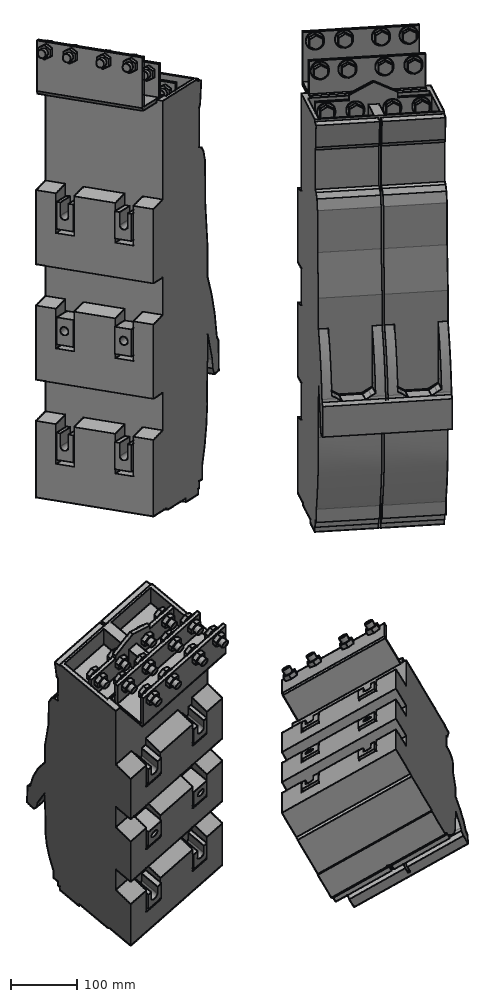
import cadquery as cq
import math


WIDTH = 199.0
HOUSING_TOP = 664.0
GRIP_Y = 182.0
GRIP_TOP = 231.5
HANDLE_TIP_Y = 188.0
REAR_Y = 150.0

MODULE_GAP = 4.0
MODULE_GAP_Y = 118.0
WINDOW_X = (17.0, 84.0)
WINDOW_TOP = 351.0
TROUGH_HALF_WIDTH = 18.0
BEVEL_HALF_WIDTH = 27.0
BEVEL_RISE = 5.0
WINDOW_SIDE_RISE = 9.0

COMPARTMENT_X = (8.0, 93.0)
COMPARTMENT_Y = (24.0, 114.0)
COMPARTMENT_FLOOR = 619.5

PAD_PITCH = 184.0
PAD_DEPTH = 31.0
PAD_BOTTOM = 13.5
PAD_TOP = 132.0
PAD_SLOPE_RISE = 6.0
BASE_FRONT_Z = 10.0
POCKET_X = (35.0, 66.0)
POCKET_BOTTOM = 69.0

CONTACT_WIDTH = 28.0
CONTACT_BOTTOM = 76.0
CONTACT_TOP = 119.5
CONTACT_FRONT_Y = -33.5
CONTACT_HOLE = 13.5
CONTACT_HOLE_DROP = 20.0

BAR = 6.0
BAR_WIDTH = 179.0
FRONT_BAR_Y = -42.5
MIDDLE_BAR_Y = 12.0
REAR_BAR_Y = 67.0
FRONT_BAR_TOP = 746.5
MIDDLE_BAR_TOP = 719.5
REAR_BAR_TOP = 700.0
FOOT_REAR_Y = COMPARTMENT_Y[0]
FOOT_TOP = 666.5
FOOT_CHAMFER = 4.5
BEND_CHAMFER = (2.0, 5.0)
SHOULDER_TOP = 672.5
CREST_HALF_WIDTH = 37.0
CREST_EDGE_TOP = 681.5

NUT_FLATS = 20.0
NUT_LENGTH = 7.5
WASHER_DIAMETER = 28.0
WASHER = 2.0
HEAD_LENGTH = 8.0
SHANK_DIAMETER = 13.5
SHANK_LENGTH = 16.5
FRONT_BOLT_X = (-73.0, -30.5, 26.0, 71.0)
MIDDLE_BOLT_X = tuple(-x for x in FRONT_BOLT_X)
REAR_BOLT_X = (-73.0, -28.0, 28.0, 73.0)
FRONT_BOLT_Z = 732.0
MIDDLE_BOLT_Z = 704.0
REAR_BOLT_Z = 657.0


def box(x_range, y_range, z_range):
    """Box between the given limits along each axis."""
    lows, highs = zip(x_range, y_range, z_range)
    sizes = [high - low for low, high in zip(lows, highs)]
    return cq.Workplane("XY").box(*sizes, centered=False).translate(lows)


def span(width):
    """Limits of a width centred on X = 0."""
    return (-width / 2, width / 2)


def mirrored(x_range):
    """The given X limits and their mirror image."""
    return [(-x_range[1], -x_range[0]), x_range]


def housing():
    """Side profile of the housing and handles, extruded over the full width."""
    return (
        cq.Workplane("YZ")
        .moveTo(0, BASE_FRONT_Z)
        .lineTo(0, HOUSING_TOP)
        .lineTo(118.0, HOUSING_TOP)
        .lineTo(118.0, 660.5)
        .lineTo(129.0, 658.0)
        .lineTo(125.5, 622.0)
        .lineTo(122.5, 616.5)
        .lineTo(122.5, 553.0)
        .lineTo(130.0, 551.0)
        .lineTo(136.5, 542.5)
        .lineTo(142.0, 526.0)
        .lineTo(142.5, 459.0)
        .lineTo(REAR_Y, 388.0)
        .lineTo(REAR_Y, 338.0)
        .threePointArc((170.0, 286.5), (180.5, 236.0))
        .lineTo(GRIP_Y, GRIP_TOP)
        .lineTo(186.5, 226.0)
        .lineTo(HANDLE_TIP_Y, 178.0)
        .lineTo(173.0, 175.5)
        .lineTo(167.0, 186.5)
        .lineTo(166.0, 201.5)
        .lineTo(151.0, 246.0)
        .lineTo(148.5, 163.5)
        .threePointArc((143.0, 84.0), (132.0, 42.0))
        .lineTo(132.0, 20.0)
        .lineTo(122.5, 20.0)
        .lineTo(122.5, 9.0)
        .lineTo(119.0, 9.0)
        .lineTo(119.0, 0)
        .lineTo(77.5, 0)
        .lineTo(77.5, 6.0)
        .lineTo(16.5, 6.0)
        .lineTo(13.0, BASE_FRONT_Z)
        .close()
        .extrude(WIDTH / 2, both=True)
    )


def handle_window(x_range):
    """Opening above the handle grip, with a bevelled trough as its bottom."""
    center_x = sum(x_range) / 2
    half_width = (x_range[1] - x_range[0]) / 2
    return (
        cq.Workplane("XZ", origin=(center_x, HANDLE_TIP_Y, 0))
        .polyline([
            (-half_width, WINDOW_TOP),
            (-half_width, GRIP_TOP + WINDOW_SIDE_RISE),
            (-BEVEL_HALF_WIDTH, GRIP_TOP + BEVEL_RISE),
            (-TROUGH_HALF_WIDTH, GRIP_TOP),
            (TROUGH_HALF_WIDTH, GRIP_TOP),
            (BEVEL_HALF_WIDTH, GRIP_TOP + BEVEL_RISE),
            (half_width, GRIP_TOP + WINDOW_SIDE_RISE),
            (half_width, WINDOW_TOP),
        ])
        .close()
        .extrude(HANDLE_TIP_Y - REAR_Y)
    )


def pad(level, bottom):
    """Mounting pad with a sloping top and two pockets open at the top and front."""
    top = PAD_TOP + level
    body = (
        cq.Workplane("YZ")
        .polyline([
            (0, bottom),
            (-PAD_DEPTH, bottom),
            (-PAD_DEPTH, top),
            (0, top + PAD_SLOPE_RISE),
        ])
        .close()
        .extrude(WIDTH / 2, both=True)
    )
    for x_range in mirrored(POCKET_X):
        pocket_z = (POCKET_BOTTOM + level, top + PAD_SLOPE_RISE)
        body = body.cut(box(x_range, (-PAD_DEPTH, 0), pocket_z))
    return body


def contact(side, level, open_slot):
    """Contact block with a hole, or a slot open at the top, running back to the mounting face."""
    inner_x = POCKET_X[0]
    outer_x = inner_x + CONTACT_WIDTH
    z_range = (CONTACT_BOTTOM + level, CONTACT_TOP + level)
    block = box((inner_x, outer_x), (CONTACT_FRONT_Y, 0), z_range)

    hole_x = sum(POCKET_X) / 2
    hole_z = z_range[1] - CONTACT_HOLE_DROP
    hole = (
        cq.Workplane("XZ", origin=(hole_x, 0, hole_z))
        .circle(CONTACT_HOLE / 2)
        .extrude(-CONTACT_FRONT_Y)
    )
    block = block.cut(hole)
    if open_slot:
        slot_x = (hole_x - CONTACT_HOLE / 2, hole_x + CONTACT_HOLE / 2)
        block = block.cut(box(slot_x, (CONTACT_FRONT_Y, 0), (hole_z, z_range[1])))
    return block if side > 0 else block.mirror("YZ")


def bolt(x, bar_y, z):
    """Hexagon bolt through a bar whose rear face is at bar_y, its end toward -Y."""

    def stage(start_y):
        return cq.Workplane("XZ", origin=(x, start_y, z))

    def hexagon(start_y, length):
        corner_diameter = NUT_FLATS / math.cos(math.pi / 6)
        plane = stage(start_y).transformed(rotate=(0, 0, 90))
        return plane.polygon(6, corner_diameter).extrude(length)

    washer_y = bar_y + WASHER
    head_y = washer_y + HEAD_LENGTH
    head = hexagon(head_y, HEAD_LENGTH)
    washer = stage(washer_y).circle(WASHER_DIAMETER / 2).extrude(WASHER)
    nut = hexagon(bar_y - BAR, NUT_LENGTH)
    shank = stage(bar_y).circle(SHANK_DIAMETER / 2).extrude(BAR + SHANK_LENGTH)
    return head.union(washer).union(nut).union(shank)


def front_busbar():
    """L-shaped bar whose foot reaches into the housing."""
    bar_front_y = FRONT_BAR_Y - BAR
    foot_bottom = FOOT_TOP - BAR
    bend_y, bend_z = BEND_CHAMFER
    return (
        cq.Workplane("YZ")
        .polyline([
            (FRONT_BAR_Y, FRONT_BAR_TOP),
            (bar_front_y, FRONT_BAR_TOP),
            (bar_front_y, foot_bottom + bend_z),
            (bar_front_y + bend_y, foot_bottom),
            (FOOT_REAR_Y, foot_bottom),
            (FOOT_REAR_Y, FOOT_TOP - FOOT_CHAMFER),
            (FOOT_REAR_Y - FOOT_CHAMFER, FOOT_TOP),
            (FRONT_BAR_Y, FOOT_TOP),
        ])
        .close()
        .extrude(BAR_WIDTH / 2, both=True)
    )


def middle_busbar():
    """Upright bar standing on the foot of the front bar."""
    return box(span(BAR_WIDTH), (MIDDLE_BAR_Y - BAR, MIDDLE_BAR_Y), (FOOT_TOP - BAR, MIDDLE_BAR_TOP))


def rear_busbar():
    """Upright bar in the compartments, with a raised gable in the middle."""
    half_width = BAR_WIDTH / 2
    return (
        cq.Workplane("XZ", origin=(0, REAR_BAR_Y, 0))
        .polyline([
            (-half_width, COMPARTMENT_FLOOR),
            (-half_width, SHOULDER_TOP),
            (-CREST_HALF_WIDTH, SHOULDER_TOP),
            (-CREST_HALF_WIDTH, CREST_EDGE_TOP),
            (0, REAR_BAR_TOP),
            (CREST_HALF_WIDTH, CREST_EDGE_TOP),
            (CREST_HALF_WIDTH, SHOULDER_TOP),
            (half_width, SHOULDER_TOP),
            (half_width, COMPARTMENT_FLOOR),
        ])
        .close()
        .extrude(BAR)
    )


result = housing()
for x_range in mirrored(COMPARTMENT_X):
    result = result.cut(box(x_range, COMPARTMENT_Y, (COMPARTMENT_FLOOR, HOUSING_TOP)))
for x_range in mirrored(WINDOW_X):
    result = result.cut(handle_window(x_range))
result = result.cut(box(span(MODULE_GAP), (MODULE_GAP_Y, GRIP_Y), (0, HOUSING_TOP)))

for row in range(3):
    row_level = row * PAD_PITCH
    result = result.union(pad(row_level, BASE_FRONT_Z if row == 0 else PAD_BOTTOM + row_level))
    for contact_side in (-1, 1):
        result = result.union(contact(contact_side, row_level, open_slot=row != 1))

for busbar in (front_busbar(), middle_busbar(), rear_busbar()):
    result = result.union(busbar)
for bolt_xs, bolt_bar_y, bolt_z in (
    (FRONT_BOLT_X, FRONT_BAR_Y, FRONT_BOLT_Z),
    (MIDDLE_BOLT_X, MIDDLE_BAR_Y, MIDDLE_BOLT_Z),
    (REAR_BOLT_X, REAR_BAR_Y, REAR_BOLT_Z),
):
    for bolt_x in bolt_xs:
        result = result.union(bolt(bolt_x, bolt_bar_y, bolt_z))